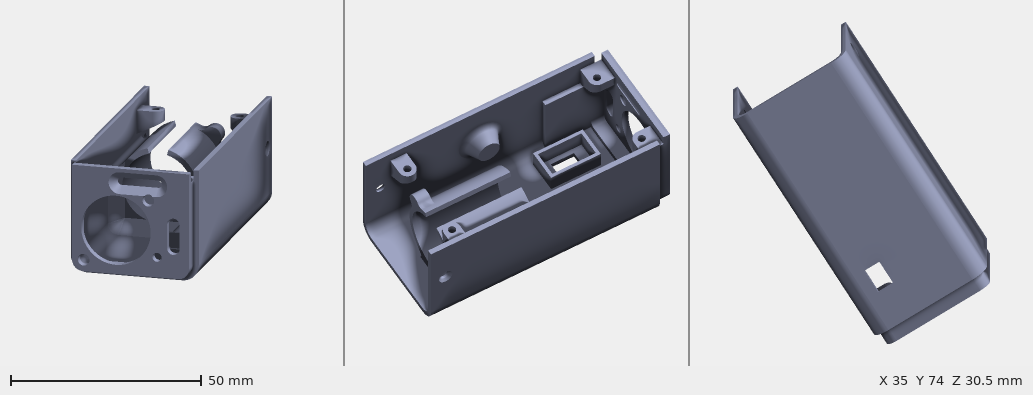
import cadquery as cq
import math

WIDTH = 35.0
LENGTH = 74.0
HEIGHT = 30.5
SIDE_WALL = 1.5
FLOOR = 1.5
INNER_RADIUS = 3.0
OUTER_RADIUS = INNER_RADIUS + SIDE_WALL
INNER_HALF = WIDTH / 2 - SIDE_WALL
OVERCUT = 1.0

DIAGONAL = math.sqrt(0.5)

OVERHANG_SLOPE = 0.5

SHELL_START = 4.0
PLATE_THICKNESS = 2.0
COLLAR_END = 6.0
COLLAR_WALL = 1.5
LID_THICKNESS = 3.0
LID_SEAT = HEIGHT - LID_THICKNESS

TUBE_BORE = 19.0
TUBE_WALL = 1.5
TUBE_RADIUS = TUBE_BORE / 2 + TUBE_WALL
TUBE_X = -4.0
TUBE_CORNER_OFFSET = TUBE_X + INNER_HALF
TUBE_Z = FLOOR + TUBE_CORNER_OFFSET
TUBE_FRONT = 40.0
TUBE_BACK = 66.0
TUBE_GAP_ANGLE = 30.0

FOOT_FILLET = 1.0
RAMP_LENGTH = INNER_RADIUS / OVERHANG_SLOPE
RAMP_START = TUBE_FRONT - RAMP_LENGTH

PIN_DISTANCE = 11.9
PIN_RADIUS = 2.5
PIN_LENGTH = 3.9
PIN_FILLET = 2.0

CORNER_HOLE_DIAMETER = 3.2
CORNER_HOLE_OFFSET = 12.5 * DIAGONAL
SMALL_HOLE_DIAMETER = 2.5
SMALL_HOLE_X = 7.25
SMALL_HOLE_Z = 7.0
SIDE_SLOT_WIDTH = 3.4
SIDE_SLOT_LENGTH = 10.0
SIDE_SLOT_X = 11.7
SIDE_SLOT_Z = 13.0
TOP_SLOT_STRAIGHT = 10.0
TOP_SLOT_X = 2.0
TOP_SLOT_Z = 26.5
TOP_SLOT_OUTER_DIAMETER = 6.0
TOP_SLOT_INNER_DIAMETER = TOP_SLOT_OUTER_DIAMETER - 2 * PLATE_THICKNESS

LUG_RADIUS = 2.45
LUG_HOLE_DIAMETER = 2.2
LUG_HOLE_DEPTH = 3.0
LUG_X = 11.5
LUG_FRONT_Y = 6.0
LUG_BACK_Y = LENGTH - 10.0
LUG_HEIGHT_AT_WALL = 6.5

SWITCH_X = 7.45
SWITCH_Y = 17.6
SWITCH_WIDTH = 9.3
SWITCH_LENGTH = 15.2
SWITCH_WALL = 0.95
SWITCH_TOP = 6.5
WINDOW_WIDTH = 4.65
WINDOW_LENGTH = 7.1

STUD_Y = 39.0
STUD_Z = 17.4
STUD_TIP_RADIUS = 3.25
STUD_TIP_X = 11.5
STUD_HALF_ANGLE = 25.0
STUD_FILLET = 2.0

RIB_END = 20.0
RIB_TOP = 21.5

CROSS_HOLE_DIAMETER = 2.7
CROSS_SINK_DIAMETER = 4.1
CROSS_SINK_DEPTH = (CROSS_SINK_DIAMETER - CROSS_HOLE_DIAMETER) / 2
CROSS_HOLE_Y = LENGTH - 4.5
CROSS_HOLE_Z = STUD_Z


def box(x0, x1, y0, y1, z0, z1):
    """Axis-aligned block between the given limits."""
    return cq.Workplane("XY").box(x1 - x0, y1 - y0, z1 - z0, centered=False).translate((x0, y0, z0))


def section(y):
    """Workplane at y whose local axes are X and Z and whose normal points to -Y."""
    return cq.Workplane("XZ", origin=(0, y, 0))


def trough(half_width, bottom, radius, y0, y1):
    """Block reaching the top, with its two lower long edges rounded."""
    block = box(-half_width, half_width, y0, y1, bottom, HEIGHT)
    return block.edges("|Y and <Z").fillet(radius)


def cylinder_y(x, z, radius, y0, y1):
    return section(y0).center(x, z).circle(radius).extrude(y0 - y1)


def make_shell():
    outer = trough(WIDTH / 2, 0, OUTER_RADIUS, SHELL_START, LENGTH)
    cavity = trough(INNER_HALF, FLOOR, INNER_RADIUS, SHELL_START, LENGTH)
    return outer.cut(cavity)


def make_plug():
    plug = trough(INNER_HALF, FLOOR, INNER_RADIUS, 0, COLLAR_END)
    inside = trough(
        INNER_HALF - COLLAR_WALL,
        FLOOR + COLLAR_WALL,
        INNER_RADIUS - COLLAR_WALL,
        PLATE_THICKNESS,
        COLLAR_END,
    )
    lid_recess = box(-INNER_HALF, INNER_HALF, PLATE_THICKNESS, COLLAR_END, LID_SEAT, HEIGHT)
    return plug.cut(inside).cut(lid_recess)


def make_ramp_clearance():
    """Space in front of the tube; its lower left corner closes in steadily to a sharp corner at the tube."""
    corner_x = -INNER_HALF + INNER_RADIUS
    corner_z = FLOOR + INNER_RADIUS
    clearance = box(corner_x, INNER_HALF, RAMP_START, TUBE_FRONT, corner_z, HEIGHT)
    floor_wedge = (
        cq.Workplane("YZ", origin=(corner_x, 0, 0))
        .moveTo(RAMP_START, FLOOR)
        .lineTo(TUBE_FRONT, corner_z)
        .lineTo(RAMP_START, corner_z)
        .close()
        .extrude(INNER_HALF - corner_x)
    )
    wall_wedge = (
        cq.Workplane("XY", origin=(0, 0, corner_z))
        .moveTo(-INNER_HALF, RAMP_START)
        .lineTo(corner_x, TUBE_FRONT)
        .lineTo(corner_x, RAMP_START)
        .close()
        .extrude(HEIGHT - corner_z)
    )
    corner_cone = cq.Workplane(
        cq.Solid.makeCone(
            INNER_RADIUS, 0, RAMP_LENGTH, cq.Vector(corner_x, RAMP_START, corner_z), cq.Vector(0, 1, 0)
        )
    )
    return clearance.union(floor_wedge).union(wall_wedge).union(corner_cone)


def make_tube_foot():
    """Filler between tube, left wall and floor, bounded by 45 degree tangents of the tube.

    The profile is symmetric about the diagonal of the corner between wall and floor,
    so it is written as (along floor, up wall) distances from that corner.
    """
    reach = TUBE_RADIUS * DIAGONAL
    tangent = (TUBE_CORNER_OFFSET + reach, TUBE_CORNER_OFFSET - reach)
    vertex = tangent[0] - tangent[1]
    half_angle = math.radians(45 / 2)
    setback = FOOT_FILLET / math.tan(half_angle)
    fillet_line = (vertex + setback * DIAGONAL, setback * DIAGONAL)
    fillet_floor = (vertex + setback, 0)
    fillet_middle = (
        fillet_floor[0] - FOOT_FILLET * math.cos(half_angle),
        FOOT_FILLET * (1 - math.sin(half_angle)),
    )

    def on_wall(point):
        return (point[1], point[0])

    profile = (
        cq.Workplane("XZ", origin=(-INNER_HALF, TUBE_BACK, FLOOR))
        .moveTo(*fillet_floor)
        .threePointArc(fillet_middle, fillet_line)
        .lineTo(*tangent)
        .lineTo(*on_wall(tangent))
        .lineTo(*on_wall(fillet_line))
        .threePointArc(on_wall(fillet_middle), on_wall(fillet_floor))
        .lineTo(0, INNER_RADIUS)
        .radiusArc((INNER_RADIUS, 0), -INNER_RADIUS)
        .close()
    )
    return profile.extrude(TUBE_BACK - RAMP_START).cut(make_ramp_clearance())


def make_stop_pin():
    """Round pin on the tube, blended into it by a fillet on either side."""
    pin_x = TUBE_X + PIN_DISTANCE * DIAGONAL
    pin_z = TUBE_Z + PIN_DISTANCE * DIAGONAL
    pin_front = TUBE_BACK - PIN_LENGTH
    pin = cylinder_y(pin_x, pin_z, PIN_RADIUS, pin_front, TUBE_BACK)

    to_fillet = TUBE_RADIUS + PIN_FILLET
    pin_to_fillet = PIN_RADIUS + PIN_FILLET
    cosine = (to_fillet**2 + PIN_DISTANCE**2 - pin_to_fillet**2) / (2 * to_fillet * PIN_DISTANCE)
    spread = math.acos(cosine)
    fillet_points = []
    for side in (1, -1):
        angle = math.pi / 4 + side * spread
        fillet_points.append((TUBE_X + to_fillet * math.cos(angle), TUBE_Z + to_fillet * math.sin(angle)))
    web = (
        section(TUBE_BACK)
        .polyline([(TUBE_X, TUBE_Z), fillet_points[0], (pin_x, pin_z), fillet_points[1]])
        .close()
        .extrude(PIN_LENGTH)
    )
    for x, z in fillet_points:
        web = web.cut(cylinder_y(x, z, PIN_FILLET, pin_front, TUBE_BACK))
    return pin.union(web)


def make_tube():
    body = cylinder_y(TUBE_X, TUBE_Z, TUBE_RADIUS, TUBE_FRONT, TUBE_BACK)
    body = body.union(make_tube_foot()).union(make_stop_pin())
    bore = cylinder_y(TUBE_X, TUBE_Z, TUBE_BORE / 2, RAMP_START, TUBE_BACK)
    gap_depth = 2 * TUBE_RADIUS
    gap_half = gap_depth * math.tan(math.radians(TUBE_GAP_ANGLE / 2))
    gap = (
        section(TUBE_BACK)
        .moveTo(TUBE_X, TUBE_Z)
        .lineTo(TUBE_X + gap_half, TUBE_Z + gap_depth)
        .lineTo(TUBE_X - gap_half, TUBE_Z + gap_depth)
        .close()
        .extrude(TUBE_BACK - TUBE_FRONT)
    )
    return body.cut(bore).cut(gap)


def make_lug(side, y, front):
    """Lug on the left (-1) or right (1) wall with a sloping underside; front lugs reach the plate."""
    wall_z = LID_SEAT - LUG_HEIGHT_AT_WALL
    tip_x = LUG_X - LUG_RADIUS
    tip_z = wall_z + (INNER_HALF - tip_x) * OVERHANG_SLOPE
    y_start = PLATE_THICKNESS if front else y - LUG_RADIUS
    outline = box(LUG_X, INNER_HALF, y_start, y + LUG_RADIUS, wall_z, LID_SEAT)
    nose = cq.Workplane("XY", origin=(LUG_X, y, wall_z)).circle(LUG_RADIUS).extrude(LUG_HEIGHT_AT_WALL)
    outline = outline.union(nose)
    if front:
        outline = outline.union(box(tip_x, LUG_X, y_start, y, wall_z, LID_SEAT))
    side_profile = (
        section(y + LUG_RADIUS)
        .moveTo(INNER_HALF, wall_z)
        .lineTo(INNER_HALF, LID_SEAT)
        .lineTo(tip_x, LID_SEAT)
        .lineTo(tip_x, tip_z)
        .close()
        .extrude(y + LUG_RADIUS - y_start)
    )
    lug = outline.intersect(side_profile)
    hole = (
        cq.Workplane("XY", origin=(LUG_X, y, LID_SEAT)).circle(LUG_HOLE_DIAMETER / 2).extrude(-LUG_HOLE_DEPTH)
    )
    lug = lug.cut(hole)
    return lug if side > 0 else lug.mirror("YZ")


def make_switch_box():
    return (
        cq.Workplane("XY", origin=(SWITCH_X, SWITCH_Y, FLOOR))
        .rect(SWITCH_WIDTH, SWITCH_LENGTH)
        .rect(SWITCH_WIDTH - 2 * SWITCH_WALL, SWITCH_LENGTH - 2 * SWITCH_WALL)
        .extrude(SWITCH_TOP - FLOOR)
    )


def make_window():
    return cq.Workplane("XY", origin=(SWITCH_X, SWITCH_Y, 0)).rect(WINDOW_WIDTH, WINDOW_LENGTH).extrude(FLOOR)


def make_stud():
    """Cone revolved about an X axis, flared tangentially into the right wall."""
    slope = math.radians(STUD_HALF_ANGLE)
    flare_x = INNER_HALF - STUD_FILLET * (1 - math.sin(slope))
    flare_radius = STUD_TIP_RADIUS + (flare_x - STUD_TIP_X) * math.tan(slope)
    base_radius = flare_radius + STUD_FILLET * math.cos(slope)
    middle = (math.pi / 2 + slope) / 2
    flare_middle = (
        INNER_HALF - STUD_FILLET + STUD_FILLET * math.sin(middle),
        base_radius - STUD_FILLET * math.cos(middle),
    )
    profile = (
        cq.Workplane("XY")
        .moveTo(STUD_TIP_X, 0)
        .lineTo(STUD_TIP_X, STUD_TIP_RADIUS)
        .lineTo(flare_x, flare_radius)
        .threePointArc(flare_middle, (INNER_HALF, base_radius))
        .lineTo(INNER_HALF, 0)
        .close()
    )
    return profile.revolve(360, (0, 0, 0), (1, 0, 0)).translate((0, STUD_Y, STUD_Z))


def make_rib():
    return box(INNER_HALF - COLLAR_WALL, INNER_HALF, COLLAR_END, RIB_END, FLOOR, RIB_TOP)


def make_plate_openings():
    openings = cylinder_y(TUBE_X, TUBE_Z, TUBE_BORE / 2, 0, PLATE_THICKNESS)
    for offset in (-CORNER_HOLE_OFFSET, CORNER_HOLE_OFFSET):
        corner_hole = cylinder_y(
            TUBE_X + offset, TUBE_Z + offset, CORNER_HOLE_DIAMETER / 2, 0, PLATE_THICKNESS
        )
        openings = openings.union(corner_hole)
    small_hole = cylinder_y(SMALL_HOLE_X, SMALL_HOLE_Z, SMALL_HOLE_DIAMETER / 2, 0, PLATE_THICKNESS)
    openings = openings.union(small_hole)
    side_slot = (
        section(0)
        .center(SIDE_SLOT_X, SIDE_SLOT_Z)
        .slot2D(SIDE_SLOT_LENGTH, SIDE_SLOT_WIDTH, 90)
        .extrude(-PLATE_THICKNESS)
    )
    top_slot = (
        section(0)
        .center(TOP_SLOT_X, TOP_SLOT_Z)
        .slot2D(TOP_SLOT_STRAIGHT + TOP_SLOT_OUTER_DIAMETER, TOP_SLOT_OUTER_DIAMETER)
        .workplane(offset=-PLATE_THICKNESS)
        .slot2D(TOP_SLOT_STRAIGHT + TOP_SLOT_INNER_DIAMETER, TOP_SLOT_INNER_DIAMETER)
        .loft(ruled=True)
    )
    return openings.union(side_slot).union(top_slot)


def make_cross_hole(side):
    """Hole through one side wall, countersunk from outside."""
    outside = cq.Vector(side * WIDTH / 2, CROSS_HOLE_Y, CROSS_HOLE_Z)
    inward = cq.Vector(-side, 0, 0)
    hole = cq.Solid.makeCylinder(CROSS_HOLE_DIAMETER / 2, SIDE_WALL + OVERCUT, outside, inward)
    sink = cq.Solid.makeCone(
        CROSS_SINK_DIAMETER / 2, CROSS_HOLE_DIAMETER / 2, CROSS_SINK_DEPTH, outside, inward
    )
    return cq.Workplane(hole).union(cq.Workplane(sink))


housing = make_shell().union(make_plug()).union(make_tube())
for side in (-1, 1):
    housing = housing.union(make_lug(side, LUG_FRONT_Y, front=True))
    housing = housing.union(make_lug(side, LUG_BACK_Y, front=False))
housing = housing.union(make_switch_box()).union(make_stud()).union(make_rib())
housing = housing.cut(make_plate_openings()).cut(make_window())
for side in (-1, 1):
    housing = housing.cut(make_cross_hole(side))

result = housing